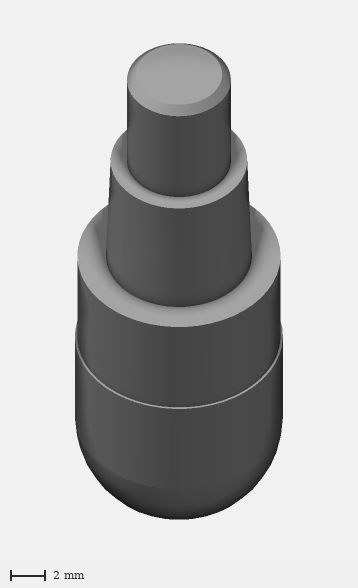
import cadquery as cq

total_height = 33.7
nose_top = 12.5
collar_top = 19.0
taper_top = 26.72

nose_radius = 6.0
collar_radius = 5.85
taper_base_radius = 4.2
taper_top_radius = 3.95
pin_radius = 3.0

chamfer_width = 0.5
chamfer_height = 0.45


def make_nose():
    """Cylindrical cap with a hemispherical lower end and a flat top."""
    profile = (
        cq.Workplane("XZ")
        .moveTo(0, 0)
        .radiusArc((nose_radius, nose_radius), -nose_radius)
        .lineTo(nose_radius, nose_top)
        .lineTo(0, nose_top)
        .close()
    )
    return profile.revolve(360, (0, 0), (0, 1))


def make_stem():
    """Collar, tapered shank and chamfered pin, seated on top of the nose."""
    profile = (
        cq.Workplane("XZ")
        .moveTo(0, nose_top)
        .lineTo(collar_radius, nose_top)
        .lineTo(collar_radius, collar_top)
        .lineTo(taper_base_radius, collar_top)
        .lineTo(taper_top_radius, taper_top)
        .lineTo(pin_radius, taper_top)
        .lineTo(pin_radius, total_height - chamfer_height)
        .lineTo(pin_radius - chamfer_width, total_height)
        .lineTo(0, total_height)
        .close()
    )
    return profile.revolve(360, (0, 0), (0, 1))


nose = make_nose()
stem = make_stem()

result = cq.Compound.makeCompound([nose.val(), stem.val()])